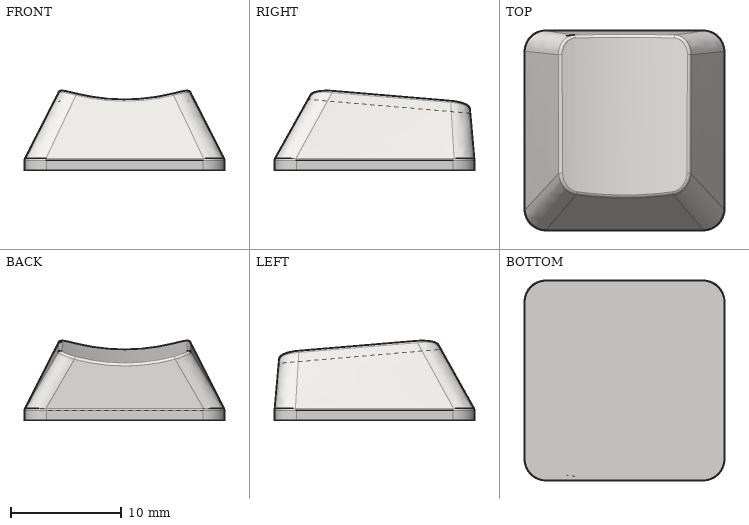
import cadquery as cq
import math

base_side = 18.16
skirt_height = 0.93
base_corner_radius = 2.0

blank_front_height = 7.8
side_lean = 3.4
front_lean = 3.81
back_lean = 0.5
top_corner_radius = 1.73

top_tilt = 4.9
scoop_radius = 17.43
valley_front_inset = 3.09
valley_front_height = 6.46
scoop_length = 3 * base_side

rim_fillet = 0.29
shoulder_height = 0.16
shoulder_side_inset = 0.05
shoulder_front_inset = 0.05
shoulder_back_inset = 0.02
shoulder_corner_radius = 1.87

tilt = math.radians(top_tilt)
axis_direction = cq.Vector(0, math.cos(tilt), -math.sin(tilt))
top_normal = cq.Vector(0, math.sin(tilt), math.cos(tilt))


def rounded_rectangle(plane, width, depth, radius):
    """Closed rounded-rectangle wire centred on the plane's origin."""
    normal = plane.zDir
    block = cq.Workplane(plane).rect(width, depth).extrude(0.18)
    block = block.edges(cq.selectors.ParallelDirSelector(normal)).fillet(radius)
    return block.faces(cq.selectors.DirectionMinMaxSelector(normal, False)).wires().val()


def base_outline():
    """Full-size outline at the top of the skirt."""
    plane = cq.Plane(origin=(0, 0, skirt_height))
    return rounded_rectangle(plane, base_side, base_side, base_corner_radius)


def shoulder_outline():
    """Slightly inset outline where the leaning walls start."""
    center_y = (shoulder_front_inset - shoulder_back_inset) / 2
    return rounded_rectangle(
        cq.Plane(origin=(0, center_y, skirt_height + shoulder_height)),
        base_side - 2 * shoulder_side_inset,
        base_side - shoulder_front_inset - shoulder_back_inset,
        shoulder_corner_radius,
    )


def top_outline():
    """Outline of the blank's top, in a plane sloping down toward the back."""
    top_run = base_side - front_lean - back_lean
    center = cq.Vector(
        0,
        (front_lean - back_lean) / 2,
        blank_front_height - top_run / 2 * math.tan(tilt),
    )
    return rounded_rectangle(
        cq.Plane(origin=center, xDir=(1, 0, 0), normal=top_normal),
        base_side - 2 * side_lean,
        top_run / math.cos(tilt),
        top_corner_radius,
    )


def ruled_solid(lower, upper):
    return cq.Workplane(cq.Solid.makeLoft([lower, upper], True))


def make_skirt():
    return (
        cq.Workplane("XY")
        .rect(base_side, base_side)
        .extrude(skirt_height)
        .edges("|Z")
        .fillet(base_corner_radius)
    )


def make_scoop():
    valley_front = cq.Vector(0, -base_side / 2 + valley_front_inset, valley_front_height)
    start = valley_front + top_normal * scoop_radius - axis_direction * (scoop_length / 2)
    return cq.Workplane(cq.Solid.makeCylinder(scoop_radius, scoop_length, start, axis_direction))


def make_body():
    """Leaning walls with the finger scoop cut in and its rim rounded."""
    body = ruled_solid(shoulder_outline(), top_outline()).cut(make_scoop())
    return body.faces(">Z").edges().fillet(rim_fillet)


shoulder = ruled_solid(base_outline(), shoulder_outline())
result = make_skirt().union(shoulder).union(make_body())